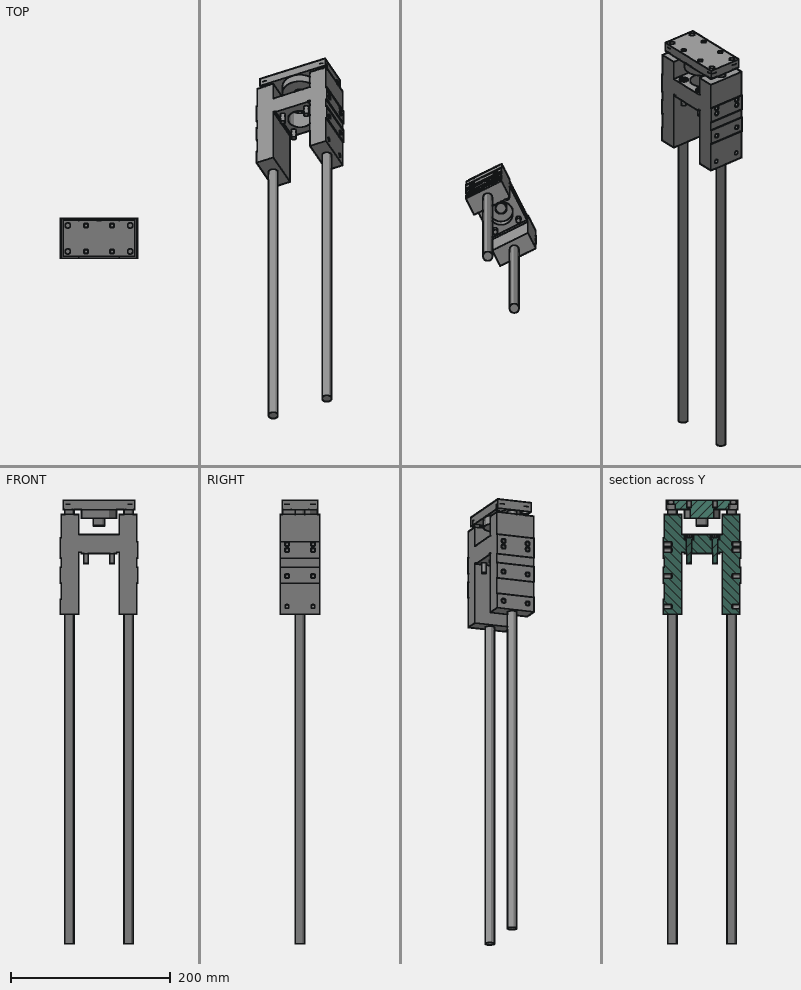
import cadquery as cq
import math


screw_hole_diameter = 6.6
counterbore_diameter = 11.0
counterbore_depth = 6.5

plate_length = 90.0
plate_width = 45.0
plate_thickness = 12.0
corner_hole_pitch = 78.0
tapped_hole_diameter = 4.92
countersink_diameter = 6.0
drill_point_angle = 118.0
plate_hole_depth = 9.0
hole_pitch = 32.5

flange_diameter = 44.0
flange_height = 11.0
stud_diameter = 15.0
stud_height = 9.5
stud_chamfer = 1.0

rod_diameter = 12.0
rod_spacing = 74.0
overall_height = 555.0

plate_gap = 6.0
leg_outer_spacing = 95.0
leg_gap = 50.5
housing_width = 50.0
leg_height = 125.0
bridge_top_z = -43.0
bridge_bottom_z = -65.5
boss_height = 1.5
boss_length = 45.0
bore_diameter = 30.0

pad_height = 1.0
housing_top_z = -(plate_thickness + plate_gap)
housing_bottom_z = housing_top_z - leg_height
middle_pad = (-84.0, -104.0)
left_pads = [(-47.0, -72.5), middle_pad, (-124.0, housing_bottom_z)]
right_pads = [(-52.0, -72.5), middle_pad]
side_hole_heights = [-55.0, -62.5, -95.0, -133.0]
side_hole_depth = 10.0

screw_diameter = 6.0
screw_length = 30.0
screw_head_diameter = 10.0
screw_head_height = 6.0
socket_width = 5.0
socket_depth = 3.0

boss_bottom_z = bridge_bottom_z - boss_height
screw_seat_z = bridge_top_z - counterbore_depth


def cylinder_down(diameter, top_z, height, points=((0, 0),)):
    """Vertical cylinders that run down from top_z at the given XY points."""
    return cq.Workplane("XY", origin=(0, 0, top_z)).pushPoints(points).circle(diameter / 2).extrude(-height)


def block(x_min, x_max, width, z_min, z_max):
    """A block centred on Y = 0."""
    return (
        cq.Workplane("XY")
        .box(x_max - x_min, width, z_max - z_min, centered=(False, True, False))
        .translate((x_min, 0, z_min))
    )


def rectangle_points(pitch_x, pitch_y):
    """The four corners of a rectangle centred on the guide axis."""
    return [(sx * pitch_x / 2, sy * pitch_y / 2) for sx in (-1, 1) for sy in (-1, 1)]


def tapped_hole(mouth, direction, depth):
    """Cutting tool for a countersunk blind hole with a drill point, running from its mouth."""
    bore = cq.Solid.makeCylinder(tapped_hole_diameter / 2, depth, mouth, direction)
    countersink_depth = (countersink_diameter - tapped_hole_diameter) / 2
    countersink = cq.Solid.makeCone(
        countersink_diameter / 2, tapped_hole_diameter / 2, countersink_depth, mouth, direction
    )
    drill_point_height = tapped_hole_diameter / 2 / math.tan(math.radians(drill_point_angle / 2))
    drill_point = cq.Solid.makeCone(
        tapped_hole_diameter / 2, 0, drill_point_height, mouth + direction * depth, direction
    )
    return cq.Workplane(obj=bore.fuse(countersink, drill_point))


rod_points = [(-rod_spacing / 2, 0), (rod_spacing / 2, 0)]
square_points = rectangle_points(hole_pitch, hole_pitch)


def make_carriage():
    """Plate with coupling flange, stud and both guide rods."""
    plate = block(-plate_length / 2, plate_length / 2, plate_width, -plate_thickness, 0)
    flange = cylinder_down(flange_diameter, -plate_thickness, flange_height)
    stud = cylinder_down(stud_diameter, -plate_thickness - flange_height, stud_height)
    stud = stud.faces("<Z").chamfer(stud_chamfer)
    rods = cylinder_down(rod_diameter, -plate_thickness, overall_height - plate_thickness, rod_points)
    corner_points = rectangle_points(corner_hole_pitch, hole_pitch)
    corner_holes = cylinder_down(screw_hole_diameter, 0, plate_thickness, corner_points)
    counterbore_top_z = counterbore_depth - plate_thickness
    counterbores = cylinder_down(counterbore_diameter, counterbore_top_z, counterbore_depth, corner_points)
    plate = plate.cut(corner_holes).cut(counterbores)
    for x, y in square_points:
        plate = plate.cut(tapped_hole(cq.Vector(x, y, 0), cq.Vector(0, 0, -1), plate_hole_depth))
    return plate.union(flange).union(stud).union(rods)


def make_leg(side, pads):
    """One leg with its raised pads and tapped side holes; side is -1 (left) or 1 (right)."""
    inner_x = side * leg_gap / 2
    outer_x = side * leg_outer_spacing / 2
    pad_x = outer_x + side * pad_height
    leg = block(*sorted((inner_x, outer_x)), housing_width, housing_bottom_z, housing_top_z)
    for top_z, bottom_z in pads:
        leg = leg.union(block(*sorted((inner_x, pad_x)), housing_width, bottom_z, top_z))
    for y in (-hole_pitch / 2, hole_pitch / 2):
        for z in side_hole_heights:
            leg = leg.cut(tapped_hole(cq.Vector(pad_x, y, z), cq.Vector(-side, 0, 0), side_hole_depth))
    return leg


def make_housing():
    """Two legs joined by a bridge that carries the cylinder."""
    bridge = block(-leg_gap / 2, leg_gap / 2, housing_width, bridge_bottom_z, bridge_top_z)
    boss = block(-boss_length / 2, boss_length / 2, housing_width, boss_bottom_z, bridge_bottom_z)
    bridge = bridge.union(boss)
    bridge_height = bridge_top_z - boss_bottom_z
    bridge = bridge.cut(cylinder_down(bore_diameter, bridge_top_z, bridge_height))
    bridge = bridge.cut(cylinder_down(screw_hole_diameter, bridge_top_z, bridge_height, square_points))
    bridge = bridge.cut(
        cylinder_down(counterbore_diameter, bridge_top_z, counterbore_depth, square_points)
    )
    housing = bridge.union(make_leg(-1, left_pads)).union(make_leg(1, right_pads))
    return housing.cut(cylinder_down(rod_diameter, housing_top_z, leg_height, rod_points))


def make_screw(x, y):
    """Socket head screw seated in a bridge counterbore."""
    head_top_z = screw_seat_z + screw_head_height
    head = cylinder_down(screw_head_diameter, head_top_z, screw_head_height)
    shank = cylinder_down(screw_diameter, screw_seat_z, screw_length)
    socket = (
        cq.Workplane("XY", origin=(0, 0, head_top_z))
        .polygon(6, socket_width, circumscribed=True)
        .extrude(-socket_depth)
    )
    return head.union(shank).cut(socket).translate((x, y, 0))


carriage = make_carriage()
housing = make_housing()
screws = [make_screw(x, y) for x, y in square_points]

result = cq.Compound.makeCompound([carriage.val(), housing.val(), *[screw.val() for screw in screws]])